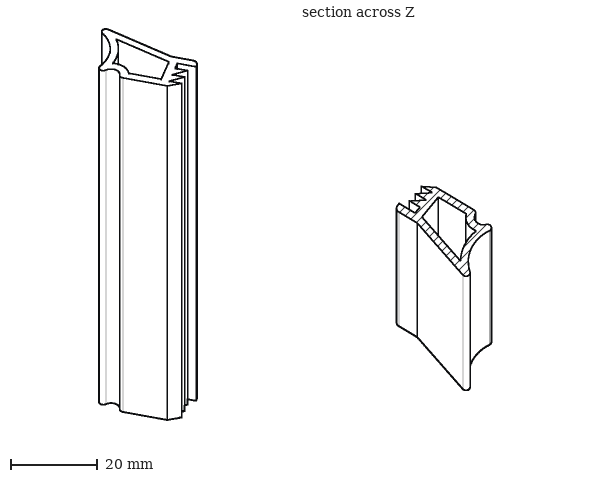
import cadquery as cq
import math

LENGTH = 100.0
WIDTH = 24.5
HEIGHT = 16.07

BASE_THICKNESS = 2.0
BACK_OUTER_X = 20.0
BACK_INNER_X = 18.0

FLANGE_BOTTOM = 8.5
FLANGE_TOP = 10.55
FLANGE_CORNER_RADIUS = 1.4

BARB_COUNT = 3
BARB_TIP_X = 23.0
TOP_BARB_Y = 6.65
BARB_PITCH = 2.43

ROOF_ANGLE = math.radians(18.2)
CAVITY_ROOF_Y = 8.5
TIP_RADIUS = 1.0
TIP_X = TIP_RADIUS
TIP_Y = HEIGHT - TIP_RADIUS

FRONT_X = -5.6
FRONT_Y = 6.75
FRONT_THICKNESS = 1.9
FRONT_OUTER_RADIUS = math.hypot(TIP_X - FRONT_X, TIP_Y - FRONT_Y) - TIP_RADIUS
FRONT_INNER_RADIUS = FRONT_OUTER_RADIUS + FRONT_THICKNESS

FOOT_RADIUS = 1.0
FOOT_BOTTOM = 1.25
FOOT_Y = FOOT_BOTTOM + FOOT_RADIUS
FOOT_X = FRONT_X + math.sqrt((FRONT_OUTER_RADIUS + FOOT_RADIUS) ** 2 - (FOOT_Y - FRONT_Y) ** 2)

GROOVE_RADIUS = 2.0
GROOVE_TOP = 2.43
GROOVE_Y = GROOVE_TOP - GROOVE_RADIUS
GROOVE_X = FOOT_X + math.sqrt((FOOT_RADIUS + GROOVE_RADIUS) ** 2 - (FOOT_Y - GROOVE_Y) ** 2)
GROOVE_WALL_THICKNESS = 2.1
GROOVE_WALL_RADIUS = GROOVE_RADIUS + GROOVE_WALL_THICKNESS
BASE_EDGE_RADIUS = 1.0
BASE_EDGE_Y = BASE_EDGE_RADIUS
BASE_EDGE_X = GROOVE_X + math.sqrt(
    (GROOVE_RADIUS + BASE_EDGE_RADIUS) ** 2 - (BASE_EDGE_Y - GROOVE_Y) ** 2
)


def on_circle(center_x, center_y, radius, angle):
    """Point on a circle at an angle in radians."""
    return (center_x + radius * math.cos(angle), center_y + radius * math.sin(angle))


def add_arc(outline, center_x, center_y, radius, start_angle, end_angle):
    """Continue the outline along a circle between two angles."""
    middle_angle = (start_angle + end_angle) / 2
    return outline.threePointArc(
        on_circle(center_x, center_y, radius, middle_angle),
        on_circle(center_x, center_y, radius, end_angle),
    )


def make_body():
    """Solid outer profile without the cavity."""
    roof_normal = math.pi / 2 - ROOF_ANGLE
    front_top = math.atan2(TIP_Y - FRONT_Y, TIP_X - FRONT_X)
    front_bottom = math.atan2(FOOT_Y - FRONT_Y, FOOT_X - FRONT_X)
    groove_start = math.atan2(FOOT_Y - GROOVE_Y, FOOT_X - GROOVE_X)
    groove_end = math.atan2(BASE_EDGE_Y - GROOVE_Y, BASE_EDGE_X - GROOVE_X)

    roof_end_x = (
        TIP_X + TIP_RADIUS / math.sin(ROOF_ANGLE) + (TIP_Y - FLANGE_TOP) / math.tan(ROOF_ANGLE)
    )

    outline = cq.Workplane("XY").moveTo(BASE_EDGE_X, 0).lineTo(BACK_OUTER_X, 0)
    for index in reversed(range(BARB_COUNT)):
        barb_y = TOP_BARB_Y - index * BARB_PITCH
        outline = outline.lineTo(BARB_TIP_X, barb_y).lineTo(BACK_OUTER_X, barb_y)
    outline = (
        outline.lineTo(BACK_OUTER_X, FLANGE_BOTTOM)
        .lineTo(WIDTH, FLANGE_BOTTOM)
        .lineTo(WIDTH, FLANGE_TOP - FLANGE_CORNER_RADIUS)
        .tangentArcPoint((WIDTH - FLANGE_CORNER_RADIUS, FLANGE_TOP), relative=False)
        .lineTo(roof_end_x, FLANGE_TOP)
        .lineTo(*on_circle(TIP_X, TIP_Y, TIP_RADIUS, roof_normal))
    )
    outline = add_arc(outline, TIP_X, TIP_Y, TIP_RADIUS, roof_normal, front_top + math.pi)
    outline = add_arc(outline, FRONT_X, FRONT_Y, FRONT_OUTER_RADIUS, front_top, front_bottom)
    outline = add_arc(
        outline, FOOT_X, FOOT_Y, FOOT_RADIUS, front_bottom + math.pi, groove_start + math.pi
    )
    outline = add_arc(outline, GROOVE_X, GROOVE_Y, GROOVE_RADIUS, groove_start, groove_end)
    outline = add_arc(
        outline, BASE_EDGE_X, BASE_EDGE_Y, BASE_EDGE_RADIUS, groove_end + math.pi, 3 * math.pi / 2
    )
    return outline.close().extrude(LENGTH)


def make_cavity():
    """Hollow enclosed by the roof, back wall, base and front wall."""
    roof_distance = (BACK_INNER_X - FRONT_X) * math.sin(ROOF_ANGLE)
    roof_distance += (CAVITY_ROOF_Y - FRONT_Y) * math.cos(ROOF_ANGLE)
    front_top = math.pi / 2 - ROOF_ANGLE - math.acos(roof_distance / FRONT_INNER_RADIUS)

    to_front_x = FRONT_X - GROOVE_X
    to_front_y = FRONT_Y - GROOVE_Y
    to_front = math.hypot(to_front_x, to_front_y)
    crossing_cosine = GROOVE_WALL_RADIUS**2 + to_front**2 - FRONT_INNER_RADIUS**2
    crossing_cosine /= 2 * GROOVE_WALL_RADIUS * to_front
    arch_start = math.atan2(to_front_y, to_front_x) - math.acos(crossing_cosine)
    arch_end = math.asin((BASE_THICKNESS - GROOVE_Y) / GROOVE_WALL_RADIUS)
    arch_x, arch_y = on_circle(GROOVE_X, GROOVE_Y, GROOVE_WALL_RADIUS, arch_start)
    front_bottom = math.atan2(arch_y - FRONT_Y, arch_x - FRONT_X)

    outline = (
        cq.Workplane("XY")
        .moveTo(BACK_INNER_X, BASE_THICKNESS)
        .lineTo(BACK_INNER_X, CAVITY_ROOF_Y)
        .lineTo(*on_circle(FRONT_X, FRONT_Y, FRONT_INNER_RADIUS, front_top))
    )
    outline = add_arc(outline, FRONT_X, FRONT_Y, FRONT_INNER_RADIUS, front_top, front_bottom)
    outline = add_arc(outline, GROOVE_X, GROOVE_Y, GROOVE_WALL_RADIUS, arch_start, arch_end)
    return outline.close().extrude(LENGTH)


result = make_body().cut(make_cavity())